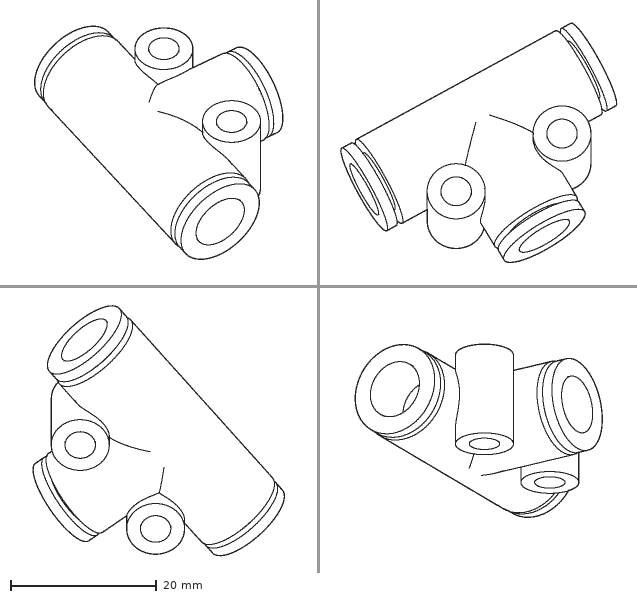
import cadquery as cq

reach = 18.2
body_diameter = 13.2
collar_diameter = 13.0
collar_thickness = 1.53
neck_diameter = 8.95
neck_length = 0.85
bore_diameter = 8.0
bore_depth = 8.37
lug_diameter = 8.0
lug_hole_diameter = 4.2
lug_offset = 8.4

body_reach = reach - collar_thickness - neck_length
port_directions = [(-1, 0, 0), (1, 0, 0), (0, 1, 0)]
lug_centers = [(-lug_offset, lug_offset), (lug_offset, lug_offset)]


def port_cylinder(direction, diameter, start, end):
    """Cylinder along a port axis between two distances from the tee centre."""
    origin = tuple(start * component for component in direction)
    plane = cq.Plane(origin=origin, xDir=(0, 0, 1), normal=direction)
    return cq.Workplane(plane).circle(diameter / 2).extrude(end - start)


def port_arm(direction):
    """Body barrel, narrow neck and release collar of one port."""
    barrel = port_cylinder(direction, body_diameter, 0, body_reach)
    neck = port_cylinder(direction, neck_diameter, 0, reach)
    collar = port_cylinder(direction, collar_diameter, reach - collar_thickness, reach)
    return barrel.union(neck).union(collar)


def lug_cylinders(diameter):
    """Vertical cylinders at both lug positions, as tall as the body."""
    return (
        cq.Workplane("XY", origin=(0, 0, -body_diameter / 2))
        .pushPoints(lug_centers)
        .circle(diameter / 2)
        .extrude(body_diameter)
    )


run_barrel = port_cylinder((1, 0, 0), body_diameter, -body_reach, body_reach)
result = run_barrel
for direction in port_directions:
    result = result.union(port_arm(direction))

result = result.union(lug_cylinders(lug_diameter)).cut(lug_cylinders(lug_hole_diameter))

for direction in port_directions:
    result = result.cut(port_cylinder(direction, bore_diameter, reach - bore_depth, reach))